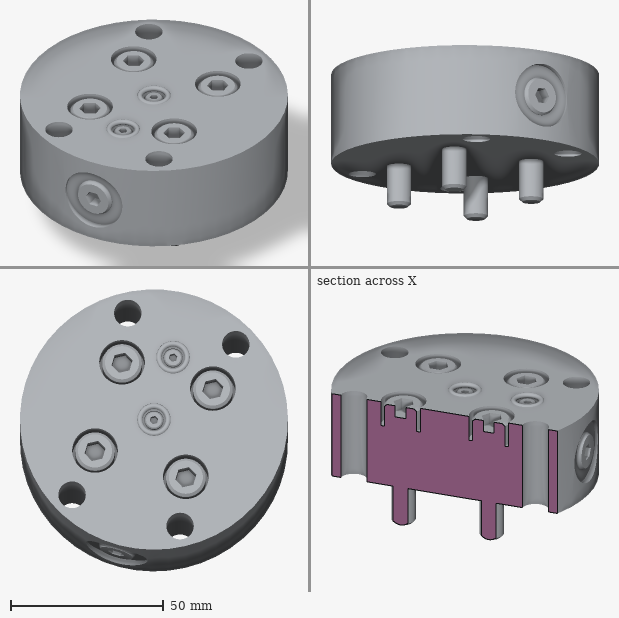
import cadquery as cq
import math

HEX_SIDES = 6

BODY_DIAMETER = 88.0
BODY_HEIGHT = 30.0

MOUNT_HOLE_DIAMETER = 9.0
MOUNT_CIRCLE_RADIUS = 37.0
MOUNT_ANGLES = (60, 120, 240, 300)

SCREW_CIRCLE_RADIUS = 22.0
SCREW_ANGLES = (45, 135, 225, 315)
SCREW_DIAMETER = 8.0
SCREW_LENGTH = 35.0
SCREW_TIP_CHAMFER = 1.0
HEAD_DIAMETER = 13.0
HEAD_HEIGHT = 8.0
HEAD_CHAMFER = 0.9
HEAD_SOCKET_FLATS = 6.14
HEAD_SOCKET_DEPTH = 4.0
COUNTERBORE_DIAMETER = 15.0
COUNTERBORE_DEPTH = 8.6

PORT_CENTERS = ((0.0, 0.0), (0.0, -22.0))
GLAND_DIAMETER = 11.0
GLAND_DEPTH = 1.3
RING_OUTER_DIAMETER = 11.08
RING_SECTION = 1.8
RING_PROTRUSION = 0.49
PORT_BORE_DIAMETER = 6.5
PORT_BORE_DEPTH = 2.0
SET_SCREW_LENGTH = 6.0
SET_SCREW_DIAMETER = 6.0
SET_SCREW_RECESS = 0.7
SET_SCREW_CHAMFER = 0.45
SET_SCREW_SOCKET_FLATS = 2.5
SET_SCREW_SOCKET_DEPTH = 2.0

SPOT_FACE_DIAMETER = 21.0
SPOT_FACE_DEPTH = 2.2
PLUG_DIAMETER = 12.6
PLUG_FACE_DEPTH = 0.7
PLUG_CHAMFER_LENGTH = 1.2
PLUG_CHAMFER_WIDTH = 0.7
PLUG_SOCKET_FLATS = 4.9
PLUG_SOCKET_DEPTH = 4.0


def polar_points(radius, angles):
    """Points on a circle about the Z axis."""
    return [
        (radius * math.cos(math.radians(angle)), radius * math.sin(math.radians(angle)))
        for angle in angles
    ]


def cylinder(diameter, bottom, top):
    """Cylinder on the Z axis between two heights."""
    return cq.Workplane("XY").workplane(offset=bottom).circle(diameter / 2).extrude(top - bottom)


def hex_socket(flats, face, depth):
    """Hexagonal prism sunk below a face height, with two flats facing -X and +X."""
    corner_diameter = flats / math.cos(math.pi / HEX_SIDES)
    prism = cq.Workplane("XY").workplane(offset=face - depth).polygon(HEX_SIDES, corner_diameter)
    return prism.extrude(depth).rotate((0, 0, 0), (0, 0, 1), 180 / HEX_SIDES)


def make_screw():
    """Socket head screw on the Z axis, seated on its counterbore floor."""
    seat = BODY_HEIGHT - COUNTERBORE_DEPTH
    head_top = seat + HEAD_HEIGHT
    head = cylinder(HEAD_DIAMETER, seat, head_top).faces(">Z").chamfer(HEAD_CHAMFER)
    shank = cylinder(SCREW_DIAMETER, seat - SCREW_LENGTH, seat).faces("<Z").chamfer(SCREW_TIP_CHAMFER)
    return head.union(shank).cut(hex_socket(HEAD_SOCKET_FLATS, head_top, HEAD_SOCKET_DEPTH))


def make_ring():
    """O-ring on the Z axis, standing slightly proud of the top face."""
    center_radius = (RING_OUTER_DIAMETER - RING_SECTION) / 2
    center_height = BODY_HEIGHT + RING_PROTRUSION - RING_SECTION / 2
    section = cq.Workplane("XZ").center(center_radius, center_height).circle(RING_SECTION / 2)
    return section.revolve(360, (-center_radius, 0), (-center_radius, 1))


def make_set_screw():
    """Set screw on the Z axis and the hex socket to cut once it is fused in."""
    top = BODY_HEIGHT - SET_SCREW_RECESS
    screw = cylinder(SET_SCREW_DIAMETER, top - SET_SCREW_LENGTH, top).faces(">Z").chamfer(SET_SCREW_CHAMFER)
    return screw, hex_socket(SET_SCREW_SOCKET_FLATS, top, SET_SCREW_SOCKET_DEPTH)


def make_plug():
    """Screw plug along +Z and the hex socket to cut once it is fused in."""
    rim = BODY_DIAMETER / 2
    face = rim - PLUG_FACE_DEPTH
    face_radius = PLUG_DIAMETER / 2 - PLUG_CHAMFER_WIDTH
    shoulder = face - PLUG_CHAMFER_LENGTH
    outline = (
        cq.Workplane("XZ")
        .moveTo(0, rim - SPOT_FACE_DEPTH)
        .lineTo(PLUG_DIAMETER / 2, rim - SPOT_FACE_DEPTH)
        .lineTo(PLUG_DIAMETER / 2, shoulder)
        .lineTo(face_radius, face)
        .lineTo(0, face)
        .close()
    )
    plug = outline.revolve(360, (0, 0), (0, 1))
    socket = hex_socket(PLUG_SOCKET_FLATS, face, PLUG_SOCKET_DEPTH).rotate((0, 0, 0), (0, 0, 1), 90)
    return plug, socket


def to_side(shape, direction):
    """Turn a shape built along +Z to point along -Y (direction 1) or +Y (direction -1)."""
    turned = shape.rotate((0, 0, 0), (1, 0, 0), 90 * direction)
    return turned.translate((0, 0, BODY_HEIGHT / 2))


def add_mount_holes(body):
    for x, y in polar_points(MOUNT_CIRCLE_RADIUS, MOUNT_ANGLES):
        body = body.cut(cylinder(MOUNT_HOLE_DIAMETER, 0, BODY_HEIGHT).translate((x, y, 0)))
    return body


def add_screws(body):
    counterbore = cylinder(COUNTERBORE_DIAMETER, BODY_HEIGHT - COUNTERBORE_DEPTH, BODY_HEIGHT)
    clearance = cylinder(SCREW_DIAMETER, 0, BODY_HEIGHT)
    screw = make_screw()
    for x, y in polar_points(SCREW_CIRCLE_RADIUS, SCREW_ANGLES):
        body = body.cut(counterbore.union(clearance).translate((x, y, 0)))
        body = body.union(screw.translate((x, y, 0)))
    return body


def add_ports(body):
    gland = cylinder(GLAND_DIAMETER, BODY_HEIGHT - GLAND_DEPTH, BODY_HEIGHT)
    bore = cylinder(PORT_BORE_DIAMETER, BODY_HEIGHT - PORT_BORE_DEPTH, BODY_HEIGHT)
    ring = make_ring()
    set_screw, socket = make_set_screw()
    for x, y in PORT_CENTERS:
        body = body.cut(gland.union(bore).translate((x, y, 0)))
        body = body.union(ring.translate((x, y, 0)))
        body = body.union(set_screw.translate((x, y, 0)))
        body = body.cut(socket.translate((x, y, 0)))
    return body


def add_side_plugs(body):
    rim = BODY_DIAMETER / 2
    spot_face = cylinder(SPOT_FACE_DIAMETER, rim - SPOT_FACE_DEPTH, rim)
    plug, socket = make_plug()
    for direction in (1, -1):
        body = body.cut(to_side(spot_face, direction))
        body = body.union(to_side(plug, direction))
        body = body.cut(to_side(socket, direction))
    return body


body = cylinder(BODY_DIAMETER, 0, BODY_HEIGHT)
body = add_mount_holes(body)
body = add_screws(body)
body = add_ports(body)
result = add_side_plugs(body)